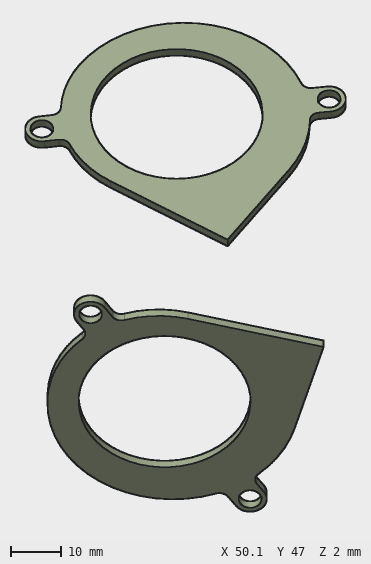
import cadquery as cq
import math

thickness = 2.0
bore_radius = 17.05

large_radius = 24.95
small_radius = 22.0
large_center_x = 1.75
left_x = large_center_x - large_radius
right_x = large_center_x + large_radius
small_center_x = left_x + small_radius

lug_radius = 3.3
lug_hole_radius = 2.25
lug_fillet = 2.0
root_search_reach = 10.0
eye_margin = 1.1
lug_centers = [(23.0, 20.0), (-20.1, -18.05)]
arm_length = 10.0


def volute_plate():
    diagonal = small_radius * math.sqrt(0.5)
    return (
        cq.Workplane("XY")
        .moveTo(right_x, 0)
        .threePointArc((large_center_x, large_radius), (left_x, 0))
        .threePointArc((small_center_x - diagonal, -diagonal), (small_center_x, -small_radius))
        .lineTo(right_x, -small_radius)
        .close()
        .extrude(thickness)
    )


def lug(center):
    x, y = center
    angle = math.degrees(math.atan2(y, x))
    eye = cq.Workplane("XY").circle(lug_radius).extrude(thickness)
    arm = (
        cq.Workplane("XY")
        .center(-arm_length / 2, 0)
        .rect(arm_length, 2 * lug_radius)
        .extrude(thickness)
    )
    return eye.union(arm).rotate((0, 0, 0), (0, 0, 1), angle).translate((x, y, 0))


def is_arm_root(edge, x, y):
    """True for an edge where an arm side of the lug at (x, y) meets the volute outline."""
    middle = edge.Center()
    distance = math.hypot(middle.x - x, middle.y - y)
    return eye_margin * lug_radius < distance < root_search_reach


def root_edges(body):
    edges = body.edges("|Z").vals()
    return [edge for edge in edges if any(is_arm_root(edge, x, y) for x, y in lug_centers)]


plate = volute_plate()
for lug_center in lug_centers:
    plate = plate.union(lug(lug_center))
plate = plate.newObject(root_edges(plate)).fillet(lug_fillet)

bore = cq.Workplane("XY").circle(bore_radius).extrude(thickness)
lug_holes = cq.Workplane("XY").pushPoints(lug_centers).circle(lug_hole_radius).extrude(thickness)

result = plate.cut(bore).cut(lug_holes)